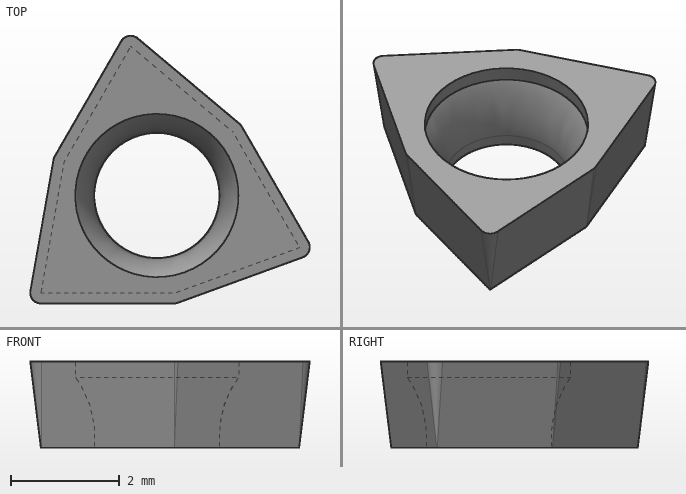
import cadquery as cq
import math

inscribed_diameter = 3.975
thickness = 1.59
corner_radius = 0.2
relief_angle = 7.0
normal_spread = 20.0

mouth_diameter = 3.0
bore_diameter = 2.3
mouth_depth = 0.29
bore_land = 0.23

lobes = 3
lobe_angle = 360.0 / lobes
first_normal = -90.0
inscribed_radius = inscribed_diameter / 2


def corner_point(first_edge_normal, turn):
    """Meeting point of two edges tangent to the inscribed circle."""
    distance = inscribed_radius / math.cos(math.radians(turn / 2))
    direction = math.radians(first_edge_normal + turn / 2)
    return (distance * math.cos(direction), distance * math.sin(direction))


def trigon_outline():
    points = []
    for lobe in range(lobes):
        normal = first_normal + lobe * lobe_angle
        points.append(corner_point(normal, normal_spread))
        points.append(corner_point(normal + normal_spread, lobe_angle - normal_spread))
    return points


def insert_body():
    """Rounded trigon, widest at the top face, narrowing downward at the relief angle."""
    outline = cq.Sketch().polygon(trigon_outline() + trigon_outline()[:1])
    outline = outline.vertices().fillet(corner_radius)
    return (
        cq.Workplane("XY")
        .workplane(offset=thickness)
        .placeSketch(outline)
        .extrude(-thickness, taper=relief_angle)
    )


def screw_hole():
    """Wide mouth leading through a convex arc, tangent to the bore, into the bore."""
    mouth_radius = mouth_diameter / 2
    bore_radius = bore_diameter / 2
    seat_top = thickness - mouth_depth
    seat_height = seat_top - bore_land
    seat_width = mouth_radius - bore_radius
    arc_radius = (seat_height**2 + seat_width**2) / (2 * seat_width)
    half_sweep = math.asin(seat_height / arc_radius) / 2
    arc_middle = (
        bore_radius + arc_radius * (1 - math.cos(half_sweep)),
        bore_land + arc_radius * math.sin(half_sweep),
    )
    return (
        cq.Workplane("XZ")
        .lineTo(bore_radius, 0)
        .lineTo(bore_radius, bore_land)
        .threePointArc(arc_middle, (mouth_radius, seat_top))
        .lineTo(mouth_radius, thickness)
        .lineTo(0, thickness)
        .close()
        .revolve(360, (0, 0), (0, 1))
    )


result = insert_body().cut(screw_hole())